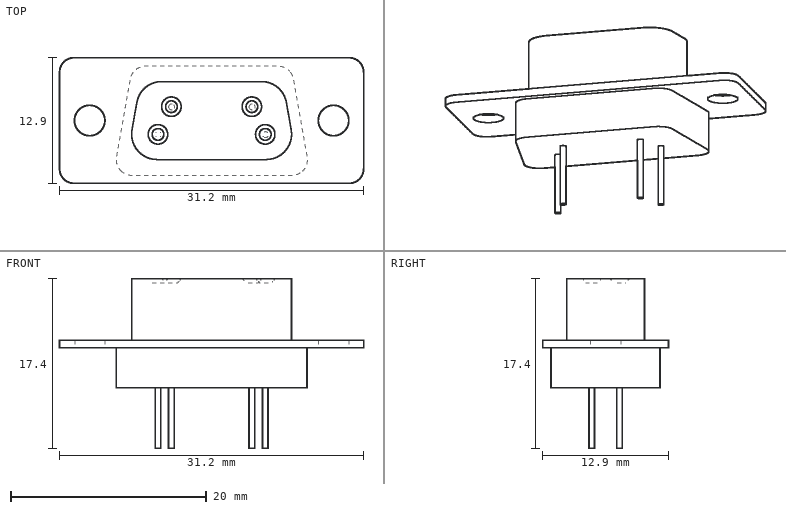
import cadquery as cq
import math

FLANGE_LENGTH = 31.2
FLANGE_WIDTH = 12.9
FLANGE_THICKNESS = 0.8
FLANGE_CORNER_RADIUS = 1.5
MOUNTING_HOLE_SPACING = 25.0
MOUNTING_HOLE_DIAMETER = 3.1

SIDE_ANGLE = 10.0
SHELL_LENGTH = 16.4
SHELL_WIDTH = 8.0
SHELL_HEIGHT = 6.3
SHELL_CORNER_RADIUS = 2.6
BODY_LENGTH = 19.6
BODY_WIDTH = 11.2
BODY_HEIGHT = 4.1
BODY_CORNER_RADIUS = 1.6

CONTACT_PITCH = 2.75
ROW_SPACING = 2.84
FRONT_ROW_POSITIONS = 5
BACK_ROW_POSITIONS = 4
PIN_DIAMETER = 0.6
PIN_LENGTH = 6.2
SOCKET_MOUTH_DIAMETER = 2.0
SOCKET_FLOOR_DIAMETER = 1.2
SOCKET_DEPTH = 0.4

FLANGE_TOP = FLANGE_THICKNESS
SHELL_TOP = FLANGE_TOP + SHELL_HEIGHT


def row_end_points(positions, y):
    """Both end contacts of a centred row at the given Y."""
    half_span = (positions - 1) * CONTACT_PITCH / 2
    return [(-half_span, y), (half_span, y)]


CONTACT_POINTS = (
    row_end_points(FRONT_ROW_POSITIONS, -ROW_SPACING / 2)
    + row_end_points(BACK_ROW_POSITIONS, ROW_SPACING / 2)
)


def d_prism(length, width, corner_radius, bottom, height):
    """Rounded trapezoid prism, wide on the -Y side; length is measured across the rounded corners."""
    lean = math.radians(SIDE_ANGLE)
    centre_to_corner = corner_radius * (1 + math.sin(lean)) / math.cos(lean)
    front_half = length / 2 - corner_radius + centre_to_corner
    back_half = front_half - width * math.tan(lean)
    outline = [
        (-front_half, -width / 2),
        (front_half, -width / 2),
        (back_half, width / 2),
        (-back_half, width / 2),
    ]
    return (
        cq.Workplane("XY", origin=(0, 0, bottom))
        .polyline(outline)
        .close()
        .extrude(height)
        .edges("|Z")
        .fillet(corner_radius)
    )


def make_flange():
    half_spacing = MOUNTING_HOLE_SPACING / 2
    return (
        cq.Workplane("XY")
        .rect(FLANGE_LENGTH, FLANGE_WIDTH)
        .extrude(FLANGE_THICKNESS)
        .edges("|Z")
        .fillet(FLANGE_CORNER_RADIUS)
        .faces(">Z")
        .workplane()
        .pushPoints([(-half_spacing, 0), (half_spacing, 0)])
        .hole(MOUNTING_HOLE_DIAMETER)
    )


def make_pins():
    return (
        cq.Workplane("XY", origin=(0, 0, -BODY_HEIGHT))
        .pushPoints(CONTACT_POINTS)
        .circle(PIN_DIAMETER / 2)
        .extrude(-PIN_LENGTH)
    )


def make_socket_recess(x, y):
    """Tapered, flat-floored recess sunk into the top of the shell."""
    return cq.Workplane(
        cq.Solid.makeCone(
            SOCKET_MOUTH_DIAMETER / 2,
            SOCKET_FLOOR_DIAMETER / 2,
            SOCKET_DEPTH,
            pnt=cq.Vector(x, y, SHELL_TOP),
            dir=cq.Vector(0, 0, -1),
        )
    )


shell = d_prism(SHELL_LENGTH, SHELL_WIDTH, SHELL_CORNER_RADIUS, FLANGE_TOP, SHELL_HEIGHT)
body = d_prism(BODY_LENGTH, BODY_WIDTH, BODY_CORNER_RADIUS, -BODY_HEIGHT, BODY_HEIGHT)

result = make_flange().union(shell).union(body).union(make_pins())
for contact_x, contact_y in CONTACT_POINTS:
    result = result.cut(make_socket_recess(contact_x, contact_y))